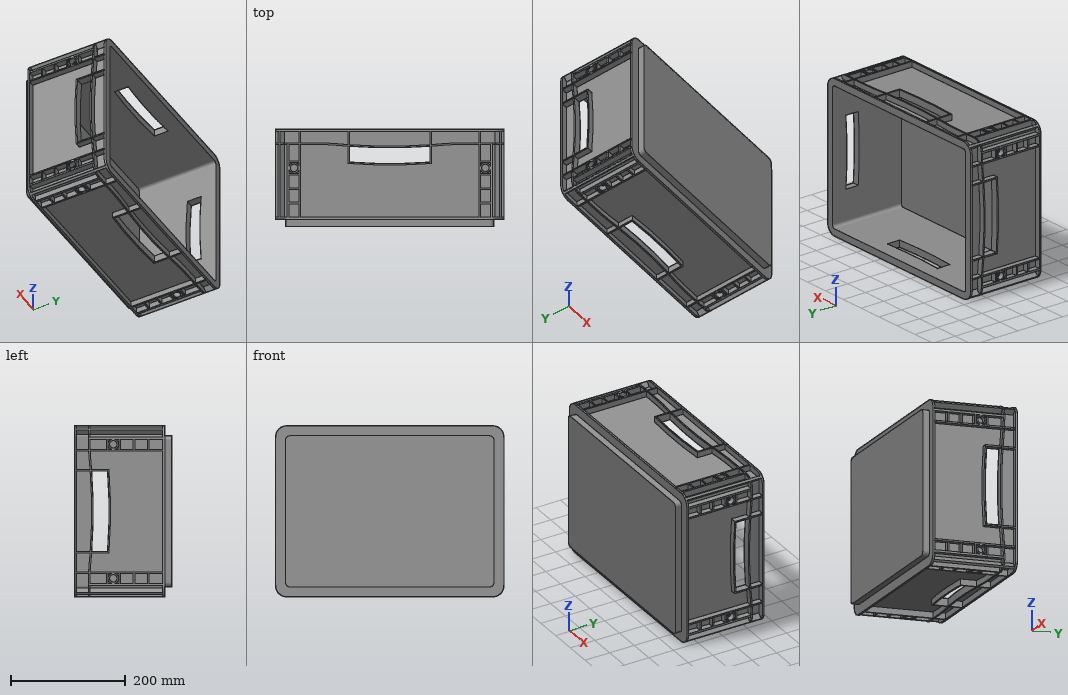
import cadquery as cq
import math

length = 399.0
width = 299.0
height = 170.0
corner_radius = 20.0

foot_height = 12.5
foot_inset = 17.5
foot_radius = 8.0

rim_thickness = 3.75
rib = 2.75
rib_depth = 11.0
plate_thickness = 3.0
floor_level = foot_height + rim_thickness
rib_top = height - rim_thickness

corner_rib_start = corner_radius
corner_rib_end = 23.8
column_rib_start = 41.2
diagonal_rib = 4.6

cell_rib_levels = (41.0, 66.2, 91.4, 113.3)
boss_level = (cell_rib_levels[2] + cell_rib_levels[3]) / 2
boss_overlap = 0.6
boss_radius = (column_rib_start - corner_rib_end) / 2 + boss_overlap
boss_hole_radius = 6.5

handle_half_length = 70.0
band_level = 144.7
band_sag = 5.9
band_reach = 130.0
band_turn = 86.0
handle_height = 27.4
sag_at_turn = band_sag * (1 - band_turn / band_reach)
sag_radius = band_turn * band_reach / (2 * band_sag)
handle_top_level = band_level - band_sag - rib / 2


def rounded_prism(size_x, size_z, radius, bottom, top):
    """Upright prism with rounded corners, between two Y levels."""
    prism = cq.Workplane("XY").box(size_x, top - bottom, size_z)
    return prism.edges("|Y").fillet(radius).translate((0, (top + bottom) / 2, 0))


def block(u_start, u_end, v_start, v_end):
    """Block of rib depth behind the wall's outer face, given by its extents on that face."""
    size_u = u_end - u_start
    size_v = v_end - v_start
    solid = cq.Workplane("XY").box(size_u, size_v, rib_depth)
    return solid.translate(((u_start + u_end) / 2, (v_start + v_end) / 2, -rib_depth / 2))


def sag_rise(u):
    """Height of the sag arc above its lowest point, at a distance u from the middle."""
    return sag_radius - math.sqrt(sag_radius ** 2 - u ** 2)


def band_rib(half_span):
    """Lengthwise rib: straight at the ends, sagging in a double curve over the handle."""
    reverse_middle = (band_turn + band_reach) / 2
    reverse_level = band_level - sag_at_turn / 4
    turn_level = band_level - sag_at_turn
    lowest = band_level - band_sag
    up = rib / 2
    return (
        cq.Workplane("XY")
        .moveTo(-half_span, band_level + up)
        .lineTo(-band_reach, band_level + up)
        .threePointArc((-reverse_middle, reverse_level + up), (-band_turn, turn_level + up))
        .threePointArc((0, lowest + up), (band_turn, turn_level + up))
        .threePointArc((reverse_middle, reverse_level + up), (band_reach, band_level + up))
        .lineTo(half_span, band_level + up)
        .lineTo(half_span, band_level - up)
        .lineTo(band_reach, band_level - up)
        .threePointArc((reverse_middle, reverse_level - up), (band_turn, turn_level - up))
        .threePointArc((0, lowest - up), (-band_turn, turn_level - up))
        .threePointArc((-reverse_middle, reverse_level - up), (-band_reach, band_level - up))
        .lineTo(-half_span, band_level - up)
        .close()
        .extrude(-rib_depth)
    )


def handle_outline(grow):
    """Handle opening between two sag arcs, enlarged all round by grow."""
    half = handle_half_length + grow
    top = handle_top_level + grow
    bottom = handle_top_level - handle_height - grow
    return (
        cq.Workplane("XY")
        .moveTo(-half, bottom + sag_rise(half))
        .threePointArc((0, bottom), (half, bottom + sag_rise(half)))
        .lineTo(half, top + sag_rise(half))
        .threePointArc((0, top), (-half, top + sag_rise(half)))
        .close()
    )


def boss(u):
    """Round boss that fills its cell, clipped by the cell's walls, with a blind hole."""
    cell = block(
        u - boss_radius, u + boss_radius, cell_rib_levels[2], cell_rib_levels[3]
    )
    disc = (
        cq.Workplane("XY")
        .center(u, boss_level)
        .circle(boss_radius)
        .circle(boss_hole_radius)
        .extrude(-rib_depth)
    )
    return disc.intersect(cell)


def end_ribs(half_span, side):
    """Upright ribs, cross ribs and boss at one end of a wall; side is -1 or 1."""
    def strip(start, end, bottom, top):
        u_values = sorted((side * (half_span - start), side * (half_span - end)))
        return block(u_values[0], u_values[1], bottom, top)

    ribs = strip(corner_rib_start, corner_rib_end, floor_level, band_level)
    ribs = ribs.union(strip(column_rib_start, column_rib_start + rib, floor_level, rib_top))
    for level in cell_rib_levels:
        cross_rib = strip(corner_rib_end, column_rib_start, level - rib / 2, level + rib / 2)
        ribs = ribs.union(cross_rib)
    boss_place = half_span - (corner_rib_end + column_rib_start) / 2
    return ribs.union(boss(side * boss_place))


def wall_ribs(span):
    """All ribs of one wall, with the wall's outer face in the XY plane."""
    half_span = span / 2
    ribs = band_rib(half_span)
    ribs = ribs.union(handle_outline(rib).extrude(-rib_depth))
    for side in (-1, 1):
        ribs = ribs.union(end_ribs(half_span, side))
        inner = side * handle_half_length
        outer = side * (handle_half_length + rib)
        ribs = ribs.union(block(min(inner, outer), max(inner, outer), handle_top_level, rib_top))
    return ribs


def on_wall(shape, angle, distance):
    """Move a shape from the XY plane to the wall facing the given angle about Y."""
    return shape.translate((0, 0, distance)).rotate((0, 0, 0), (0, 1, 0), angle)


def diagonal_ribs():
    """Bars along the diagonals through the four corners, not yet trimmed to the outline."""
    ribs = cq.Workplane("XY")
    bar_length = 2 * corner_radius
    rib_height = rib_top - floor_level
    for x_side in (-1, 1):
        for z_side in (-1, 1):
            bar = cq.Workplane("XY").box(bar_length, rib_height, diagonal_rib)
            bar = bar.rotate((0, 0, 0), (0, 1, 0), -45 * x_side * z_side)
            corner_x = x_side * length / 2
            corner_z = z_side * width / 2
            ribs = ribs.add(bar.translate((corner_x, (rib_top + floor_level) / 2, corner_z)))
    return ribs.combine()


def crate():
    """Foot, flange, rim, wall plates and ribs, hollowed and opened for the handles."""
    foot = rounded_prism(
        length - 2 * foot_inset, width - 2 * foot_inset, foot_radius, 0, foot_height
    )
    base_flange = rounded_prism(length, width, corner_radius, foot_height, floor_level)
    rim = rounded_prism(length, width, corner_radius, rib_top, height)
    plate = rounded_prism(
        length - 2 * rib_depth,
        width - 2 * rib_depth,
        corner_radius - rib_depth,
        foot_height,
        height,
    )
    outline = rounded_prism(length, width, corner_radius, foot_height, height)
    walls = ((0, length, width / 2), (90, width, length / 2))

    ribs = cq.Workplane("XY")
    for angle, span, distance in walls:
        one_wall = wall_ribs(span)
        for turn in (angle, angle + 180):
            ribs = ribs.add(on_wall(one_wall, turn, distance))
    body = plate.union(base_flange).union(rim).union(foot)
    body = body.union(ribs.combine().union(diagonal_ribs()).intersect(outline))

    wall_thickness = rib_depth + plate_thickness
    inside = rounded_prism(
        length - 2 * wall_thickness,
        width - 2 * wall_thickness,
        corner_radius - wall_thickness,
        floor_level,
        height,
    )
    body = body.cut(inside)
    for angle, span, distance in walls:
        opening = handle_outline(0).extrude(-2 * distance)
        body = body.cut(on_wall(opening, angle, distance))
    return body


result = crate()